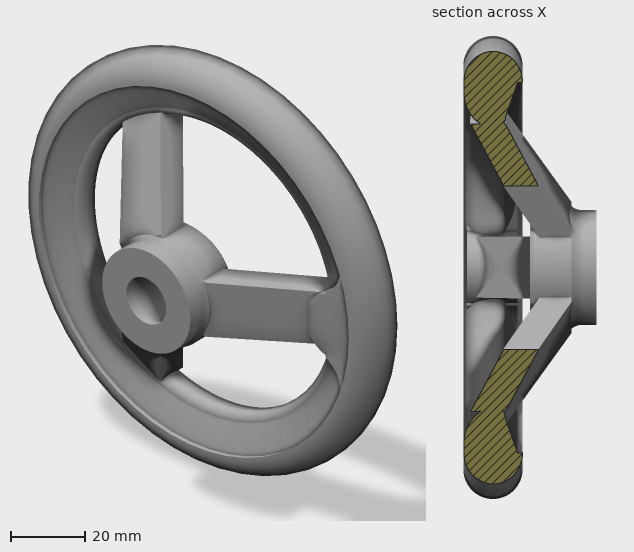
import cadquery as cq
import math

total_depth = 36.0

rim_radius = 62.5
rim_depth = 16.0
rim_front = total_depth - rim_depth
rim_middle = total_depth - rim_depth / 2
tube_radius = rim_depth / 2
crest_radius = rim_radius - tube_radius
lip_depth = 1.4
dish_floor = rim_front + lip_depth
cone_inner_radius = 46.2
cone_inner_y = 24.6
opening_radius = 43.5
inner_round = 8.7

bore_diameter = 14.0
collar_radius = 31.0 / 2
collar_depth = 4.2
hub_radius = 16.5
hub_shoulder = 6.7
hub_back = 18.0
hub_chamfer = 1.0

spoke_count = 3
spoke_inner_radius = 11.2
spoke_slope = 0.616
spoke_thickness = 9.5
spoke_hub_half_width = 8.5
plain_spoke_half_width = 7.6
handle_spoke_half_width = 8.1
plain_spoke_end = 44.6

boss_radius = 10.0
boss_center = 48.0
boss_back_recess = 1.0
boss_depth = total_depth - boss_back_recess - dish_floor
web_blend_radius = 10.2
web_blend_center = (40.2, 19.2)


def spoke_front(radius):
    """Y of the sloping front face of a spoke."""
    return hub_shoulder + spoke_slope * (radius - collar_radius)


def annular_solid(profile):
    """Revolve a (radius, Y) profile about the wheel axis."""
    return profile.close().revolve(360, (0, 0, 0), (0, 1, 0))


def make_rim():
    diagonal = inner_round * math.sqrt(0.5)
    round_radius = opening_radius + inner_round
    round_y = total_depth - inner_round
    return annular_solid(
        cq.Workplane("XY")
        .moveTo(crest_radius, rim_front)
        .threePointArc((rim_radius, rim_middle), (crest_radius, total_depth))
        .lineTo(round_radius, total_depth)
        .threePointArc((round_radius - diagonal, round_y + diagonal), (opening_radius, round_y))
        .tangentArcPoint((cone_inner_radius, cone_inner_y), relative=False)
        .lineTo(crest_radius, dish_floor)
    )


def make_hub():
    neck_flare = hub_radius - collar_radius
    neck_sag = neck_flare / 4
    neck_middle = (collar_depth + hub_shoulder) / 2
    return annular_solid(
        cq.Workplane("XY")
        .lineTo(collar_radius, 0)
        .lineTo(collar_radius, collar_depth)
        .threePointArc((collar_radius + neck_sag, neck_middle), (hub_radius, hub_shoulder))
        .lineTo(hub_radius, hub_back - hub_chamfer)
        .lineTo(hub_radius - hub_chamfer, hub_back)
        .lineTo(0, hub_back)
    )


def make_spoke(end_radius, end_half_width):
    """A sloping bar along +X that narrows toward the rim."""
    side = (
        cq.Workplane("XY")
        .moveTo(spoke_inner_radius, spoke_front(spoke_inner_radius))
        .lineTo(end_radius, spoke_front(end_radius))
        .lineTo(end_radius, spoke_front(end_radius) + spoke_thickness)
        .lineTo(spoke_inner_radius, spoke_front(spoke_inner_radius) + spoke_thickness)
        .close()
        .extrude(spoke_hub_half_width, both=True)
    )
    plan = (
        cq.Workplane("XZ", origin=(0, hub_shoulder, 0))
        .polyline([
            (spoke_inner_radius, -spoke_hub_half_width),
            (end_radius, -end_half_width),
            (end_radius, end_half_width),
            (spoke_inner_radius, spoke_hub_half_width),
        ])
        .close()
        .extrude(-total_depth)
    )
    rounded_end = cq.Workplane("XZ").circle(end_radius).extrude(-total_depth)
    return side.intersect(plan).intersect(rounded_end)


def make_boss():
    """Round boss with a web that flares out to the rim crest."""
    floor = cq.Workplane("XZ", origin=(0, dish_floor, 0))
    cylinder = floor.center(boss_center, 0).circle(boss_radius).extrude(-boss_depth)
    blend_x, blend_z = web_blend_center
    web_half_width = math.sqrt(crest_radius**2 - (blend_x + web_blend_radius)**2)
    web = (
        floor.circle(crest_radius).extrude(-boss_depth)
        .intersect(
            floor.center((boss_center + rim_radius) / 2, 0)
            .rect(rim_radius - boss_center + 2 * boss_radius, 2 * web_half_width)
            .extrude(-boss_depth)
        )
    )
    for side in (-1, 1):
        blend = floor.center(blend_x, side * blend_z).circle(web_blend_radius).extrude(-boss_depth)
        web = web.cut(blend)
    inner_limit = floor.circle(cone_inner_radius).extrude(-boss_depth)
    return cylinder.union(web.cut(inner_limit))


handle_spoke_end = boss_center - boss_radius / 2

wheel = make_rim().union(make_hub())
wheel = wheel.union(make_spoke(handle_spoke_end, handle_spoke_half_width))
for index in range(1, spoke_count):
    spoke = make_spoke(plain_spoke_end, plain_spoke_half_width)
    wheel = wheel.union(spoke.rotate((0, 0, 0), (0, 1, 0), index * 360 / spoke_count))
wheel = wheel.union(make_boss())

bore = cq.Workplane("XZ").circle(bore_diameter / 2).extrude(-total_depth)
result = wheel.cut(bore)